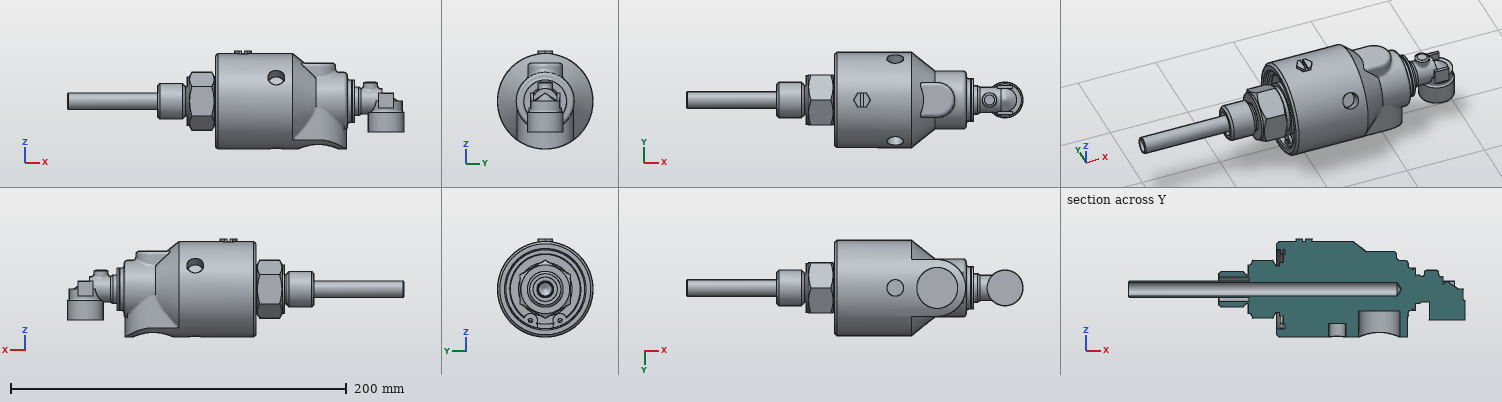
import cadquery as cq
import math


tube_radius = 5.0
tube_bore_radius = 4.0
tube_tip_chamfer = 0.6
tube_bore_length = 160.0
drill_point_angle = 118.0

nipple_start = 53.7
thread_end = 68.4
nipple_radius = 10.7
nipple_chamfer = 1.4
nipple_bore_radius = 7.25
nipple_bore_depth = 18.0
neck_radius = 17.48 / 2

washer_start = 71.3
hex_start = 72.5
hex_end = 87.6
hex_across_flats = 30.0
washer_radius = 14.5
hex_chamfer_angle = 30.0

shaft_neck_radius = 27.8 / 2
shaft_radius = 16.0
shaft_start = 89.9

housing_start = 88.15
housing_radius = 57.0 / 2
housing_chamfer_length = 1.4
housing_chamfer_depth = 1.4
cone_start = 134.1
cone_end = 148.1
collar_end = 166.7
collar_radius = 17.3
collar_fillet = 2.0
cone_fillet = 3.5

recess_depth = 4.0
recess_radius = 23.5
recess_mouth_radius = 24.3
ring_thickness = 1.75
ring_inner_radius = 21.2
ring_seat_depth = 0.5
plate_step_radius = 20.8
plate_step_depth = 1.0
ring_gap = 9.0
ear_radius = 4.2
ear_offset_y = 8.8
ear_offset_z = -18.6
ear_hole_diameter = 2.48

drain_hole_x = 124.4
drain_hole_diameter = 9.9
drain_hole_depth = 8.0
drain_hole_angles = (30.0, 150.0, 270.0)

plug_x = 104.6
plug_across_corners = 9.9
plug_top = 30.09
plug_depth = 3.0
plug_slot_width = 1.6
plug_slot_depth = 1.7

port_x = cone_end + 1.3
port_radius = 24.4 / 2
port_top = -13.0
skirt_radius = 16.9
skirt_root_fillet = 1.5
boss_radius = 10.4
boss_top = 22.8
boss_edge_fillet = 2.3
boss_root_fillet = 2.0

ring_foot_fillet = 1.6
ring_radius = 25.4 / 2
ring_groove_radius = 12.0
ring_groove_start = 169.3
ring_groove_end = 169.7
rings_end = 171.0

spout_radius = 8.6
spout_end = 173.3
pipe_start = 175.0
pipe_radius = 7.6
pipe_end = 187.5
barrel_x = 189.8
barrel_radius = 21.4 / 2
barrel_bottom = -18.4
barrel_top = -6.6
shoulder_radius = 9.7
shoulder_top = 0.2
dome_radius = 6.9
dome_top = 4.9
lug_length = 9.1
lug_inner_y = 6.9
lug_outer_y = 8.7
lug_bottom = -4.0

nub_x = 180.5
nub_radius = 8.6 / 2
nub_top = 11.4
nub_tip_radius = 3.0
nub_edge_height = 0.5
nub_root_fillet = 1.5


def turned(points):
    """Solid of revolution about X from (x, radius) points."""
    return cq.Workplane("XY").polyline(points).close().revolve(360, (0, 0, 0), (1, 0, 0))


def rod_x(start, end, radius):
    return cq.Workplane("YZ", origin=(start, 0, 0)).circle(radius).extrude(end - start)


def rod_z(x, bottom, top, radius):
    return cq.Workplane("XY", origin=(x, 0, bottom)).circle(radius).extrude(top - bottom)


def make_housing():
    shell = turned([
        (housing_start, 0),
        (housing_start, housing_radius - housing_chamfer_depth),
        (housing_start + housing_chamfer_length, housing_radius),
        (cone_start, housing_radius),
        (cone_end, collar_radius),
        (collar_end, collar_radius),
        (collar_end, 0),
    ])
    back_rim = cq.selectors.NearestToPointSelector((collar_end, 0, collar_radius))
    cone_foot = cq.selectors.NearestToPointSelector((cone_end, 0, collar_radius))
    shell = shell.edges(back_rim).fillet(collar_fillet)
    return shell.edges(cone_foot).fillet(cone_fillet)


def u_shaped_block(radius, bottom, top):
    """Upright block from inside the housing to the port axis, with a half-round back end."""
    return (
        cq.Workplane("XY", origin=(0, 0, bottom))
        .moveTo(cone_start, -radius)
        .lineTo(port_x, -radius)
        .threePointArc((port_x + radius, 0), (port_x, radius))
        .lineTo(cone_start, radius)
        .close()
        .extrude(top - bottom)
    )


def make_skirt():
    """Skirt around the port, with its root fillets on the cone and on the straight part of the collar."""
    envelope = rod_x(cone_start, collar_end, housing_radius)
    skirt = u_shaped_block(skirt_radius, -housing_radius, 0).intersect(envelope)
    collar_run_out = collar_end + collar_radius
    core = turned([
        (housing_start, 0),
        (housing_start, housing_radius),
        (cone_start, housing_radius),
        (cone_end, collar_radius),
        (collar_run_out, collar_radius),
        (collar_run_out, 0),
    ])
    root_zone = cq.selectors.BoxSelector(
        (cone_start, -housing_radius, -collar_radius),
        (collar_run_out, housing_radius, 0),
    )
    blended = core.union(skirt).edges(root_zone).edges("not(%LINE or %CIRCLE)").fillet(skirt_root_fillet)
    return skirt.union(blended.intersect(rod_x(cone_start, collar_end - collar_fillet, housing_radius)))


def make_boss():
    block = u_shaped_block(boss_radius, 0, boss_top)
    return block.faces(">Z").edges("not <X").fillet(boss_edge_fillet)


def fillet_boss_root(shell):
    """Round the foot of the boss; it is one smooth run of edges, so a single point on it selects it all."""
    foot_z = math.sqrt(collar_radius**2 - boss_radius**2)
    foot = cq.selectors.NearestToPointSelector((port_x + boss_radius, 0, foot_z))
    return shell.edges(foot).fillet(boss_root_fillet)


def make_recess():
    plate = housing_start + recess_depth
    floor = plate + plate_step_depth
    mouth_chamfer = recess_mouth_radius - recess_radius
    return turned([
        (housing_start, 0),
        (housing_start, recess_mouth_radius),
        (housing_start + mouth_chamfer, recess_radius),
        (floor, recess_radius),
        (floor, plate_step_radius),
        (plate, plate_step_radius),
        (plate, 0),
    ])


def make_retaining_ring():
    ring_start = housing_start + recess_depth - ring_thickness
    plane = cq.Workplane("YZ", origin=(ring_start, 0, 0))
    ear_centres = [(-ear_offset_y, ear_offset_z), (ear_offset_y, ear_offset_z)]
    outer_radius = recess_radius + ring_seat_depth
    ring = plane.circle(outer_radius).circle(ring_inner_radius).extrude(ring_thickness)
    ears = plane.pushPoints(ear_centres).circle(ear_radius).extrude(ring_thickness)
    ears = ears.intersect(rod_x(ring_start, ring_start + ring_thickness, outer_radius))
    gap = plane.center(0, -outer_radius).rect(ring_gap, outer_radius).extrude(ring_thickness)
    holes = plane.pushPoints(ear_centres).circle(ear_hole_diameter / 2).extrude(ring_thickness)
    return ring.union(ears).cut(gap).cut(holes)


def make_drain_hole(angle):
    """Blind radial hole; the angle is measured from +Y towards +Z."""
    a = math.radians(angle)
    outward = cq.Vector(0, math.cos(a), math.sin(a))
    floor = cq.Vector(drain_hole_x, 0, 0) + outward * (housing_radius - drain_hole_depth)
    return cq.Workplane(cq.Solid.makeCylinder(drain_hole_diameter / 2, 2 * drain_hole_depth, floor, outward))


def make_plug():
    plug = (
        cq.Workplane("XY", origin=(plug_x, 0, plug_top))
        .polygon(6, plug_across_corners)
        .extrude(-plug_depth)
    )
    slot = (
        cq.Workplane("XY", origin=(plug_x, 0, plug_top))
        .rect(plug_slot_width, plug_across_corners)
        .extrude(-plug_slot_depth)
    )
    return plug.cut(slot)


def make_hexagon():
    corner_radius = hex_across_flats / math.sqrt(3)
    corner_chamfer = (corner_radius - washer_radius) * math.tan(math.radians(hex_chamfer_angle))
    prism = (
        cq.Workplane("YZ", origin=(hex_start, 0, 0))
        .transformed(rotate=(0, 0, 90))
        .polygon(6, 2 * corner_radius)
        .extrude(hex_end - hex_start)
    )
    chamfered = turned([
        (hex_start, 0),
        (hex_start, washer_radius),
        (hex_start + corner_chamfer, corner_radius),
        (hex_end - corner_chamfer, corner_radius),
        (hex_end, washer_radius),
        (hex_end, 0),
    ])
    return prism.intersect(chamfered)


def make_nipple():
    threaded = turned([
        (nipple_start, 0),
        (nipple_start, nipple_radius - nipple_chamfer),
        (nipple_start + nipple_chamfer, nipple_radius),
        (thread_end, nipple_radius),
        (thread_end + nipple_radius - neck_radius, neck_radius),
        (washer_start, neck_radius),
        (washer_start, washer_radius),
        (hex_start, washer_radius),
        (hex_start, 0),
    ])
    return threaded.cut(rod_x(nipple_start, nipple_start + nipple_bore_depth, nipple_bore_radius))


def make_shaft():
    floor = housing_start + recess_depth
    return rod_x(hex_end, floor, shaft_neck_radius).union(rod_x(shaft_start, floor, shaft_radius))


def make_tube():
    return rod_x(0, hex_start, tube_radius).faces("<X").edges().chamfer(tube_tip_chamfer)


def make_tube_bore():
    point_length = tube_bore_radius / math.tan(math.radians(drill_point_angle / 2))
    return turned([
        (0, 0),
        (0, tube_bore_radius),
        (tube_bore_length, tube_bore_radius),
        (tube_bore_length + point_length, 0),
    ])


def make_bearing_rings():
    profile = (
        cq.Workplane("XY")
        .moveTo(collar_end, 0)
        .lineTo(collar_end, ring_radius + ring_foot_fillet)
        .radiusArc((collar_end + ring_foot_fillet, ring_radius), -ring_foot_fillet)
        .lineTo(ring_groove_start, ring_radius)
        .lineTo(ring_groove_start, ring_groove_radius)
        .lineTo(ring_groove_end, ring_groove_radius)
        .lineTo(ring_groove_end, ring_radius)
        .lineTo(rings_end, ring_radius)
        .lineTo(rings_end, 0)
        .close()
    )
    return profile.revolve(360, (0, 0, 0), (1, 0, 0))


def side_plates(length, inner_y, outer_y):
    """Pair of upright plates, one on each side of the barrel, over the height of the lugs."""
    return (
        cq.Workplane("XY", origin=(barrel_x, 0, lug_bottom))
        .pushPoints([(0, side * (inner_y + outer_y) / 2) for side in (-1, 1)])
        .rect(length, outer_y - inner_y)
        .extrude(dome_top - lug_bottom)
    )


def make_barrel():
    """Outlet barrel about the outlet axis, with a filleted shoulder, a conical cap and two lugs and their flats."""
    foot_fillet = barrel_radius - shoulder_radius
    turned_barrel = (
        cq.Workplane("XZ", origin=(barrel_x, 0, 0))
        .moveTo(0, barrel_bottom)
        .lineTo(barrel_radius, barrel_bottom)
        .lineTo(barrel_radius, barrel_top)
        .radiusArc((shoulder_radius, barrel_top + foot_fillet), foot_fillet)
        .lineTo(shoulder_radius, shoulder_top)
        .lineTo(dome_radius, shoulder_top)
        .lineTo(0, dome_top)
        .close()
        .revolve(360, (0, 0, 0), (0, 1, 0))
    )
    lugs = side_plates(lug_length, lug_inner_y, barrel_radius)
    flats = side_plates(2 * barrel_radius, lug_outer_y, barrel_radius)
    return turned_barrel.union(lugs).cut(flats)


def make_elbow():
    pipe = turned([
        (rings_end, 0),
        (rings_end, spout_radius),
        (spout_end, spout_radius),
        (pipe_start, pipe_radius),
        (pipe_end, pipe_radius),
        (pipe_end, 0),
    ])
    foot = cq.selectors.NearestToPointSelector((nub_x, 0, pipe_radius))
    pipe = pipe.union(make_nub()).edges(foot).fillet(nub_root_fillet)
    return pipe.union(make_barrel())


def make_nub():
    profile = (
        cq.Workplane("XZ", origin=(nub_x, 0, 0))
        .moveTo(0, 0)
        .lineTo(nub_radius, 0)
        .lineTo(nub_radius, nub_top - nub_edge_height)
        .lineTo(nub_tip_radius, nub_top)
        .lineTo(0, nub_top)
        .close()
    )
    return profile.revolve(360, (0, 0, 0), (0, 1, 0))


body = fillet_boss_root(make_housing().union(make_skirt()).union(make_boss()))
body = body.cut(make_recess()).cut(rod_z(port_x, -2 * housing_radius, port_top, port_radius))
for angle in drain_hole_angles:
    body = body.cut(make_drain_hole(angle))
body = body.union(make_retaining_ring()).union(make_plug())
body = body.union(make_shaft()).union(make_hexagon()).union(make_nipple()).union(make_tube())
body = body.union(make_bearing_rings()).union(make_elbow())
result = body.cut(make_tube_bore())